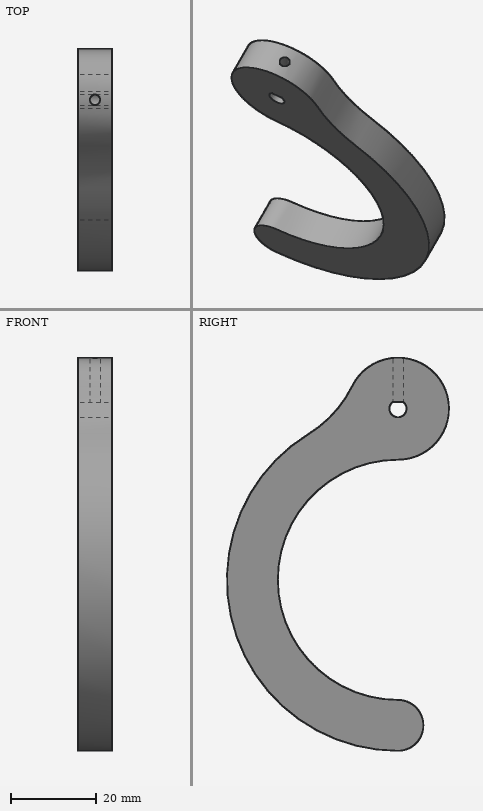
import cadquery as cq
import math

thickness = 8.0
head_radius = 12.0
hook_outer_radius = 40.0
hook_inner_radius = 28.1
neck_radius = 27.05
bore_diameter = 4.0
bore_height = 3.5
pin_hole_diameter = 2.4

hook_center_z = -(hook_inner_radius + head_radius)
tip_radius = (hook_outer_radius - hook_inner_radius) / 2
tip_center_z = hook_center_z - hook_inner_radius - tip_radius

head_to_neck = head_radius + neck_radius
hook_to_neck = hook_outer_radius + neck_radius
neck_z = (hook_to_neck**2 - head_to_neck**2 - hook_center_z**2) / (-2 * hook_center_z)
neck_y = -math.sqrt(head_to_neck**2 - neck_z**2)


def toward(start, target, radius):
    """(Y, Z) point at the given radius from start, in the direction of target."""
    dy = target[0] - start[0]
    dz = target[1] - start[1]
    distance = math.hypot(dy, dz)
    return (start[0] + radius * dy / distance, start[1] + radius * dz / distance)


head_center = (0, 0)
hook_center = (0, hook_center_z)
neck_center = (neck_y, neck_z)
neck_head_point = toward(head_center, neck_center, head_radius)
neck_hook_point = toward(hook_center, neck_center, hook_outer_radius)
neck_chord_middle = (
    (neck_head_point[0] + neck_hook_point[0]) / 2,
    (neck_head_point[1] + neck_hook_point[1]) / 2,
)
neck_mid_point = toward(neck_center, neck_chord_middle, neck_radius)


def hook_body():
    """Flat hook outline in the YZ plane, extruded equally to both sides."""
    return (
        cq.Workplane("YZ")
        .moveTo(0, -head_radius)
        .threePointArc((head_radius, 0), neck_head_point)
        .threePointArc(neck_mid_point, neck_hook_point)
        .threePointArc((-hook_outer_radius, hook_center_z), (0, hook_center_z - hook_outer_radius))
        .threePointArc((tip_radius, tip_center_z), (0, hook_center_z - hook_inner_radius))
        .threePointArc((-hook_inner_radius, hook_center_z), (0, -head_radius))
        .close()
        .extrude(thickness / 2, both=True)
    )


def shaft_bore():
    """D-shaped bore across the thickness, with its flat towards the top of the head."""
    bore_radius = bore_diameter / 2
    flat_z = bore_height - bore_radius
    flat_half_width = math.sqrt(bore_radius**2 - flat_z**2)
    return (
        cq.Workplane("YZ")
        .moveTo(-flat_half_width, flat_z)
        .threePointArc((0, -bore_radius), (flat_half_width, flat_z))
        .close()
        .extrude(thickness / 2, both=True)
    )


def pin_hole():
    """Hole from the top of the head down into the bore."""
    return cq.Workplane("XY").circle(pin_hole_diameter / 2).extrude(head_radius)


result = hook_body().cut(shaft_bore()).cut(pin_hole())